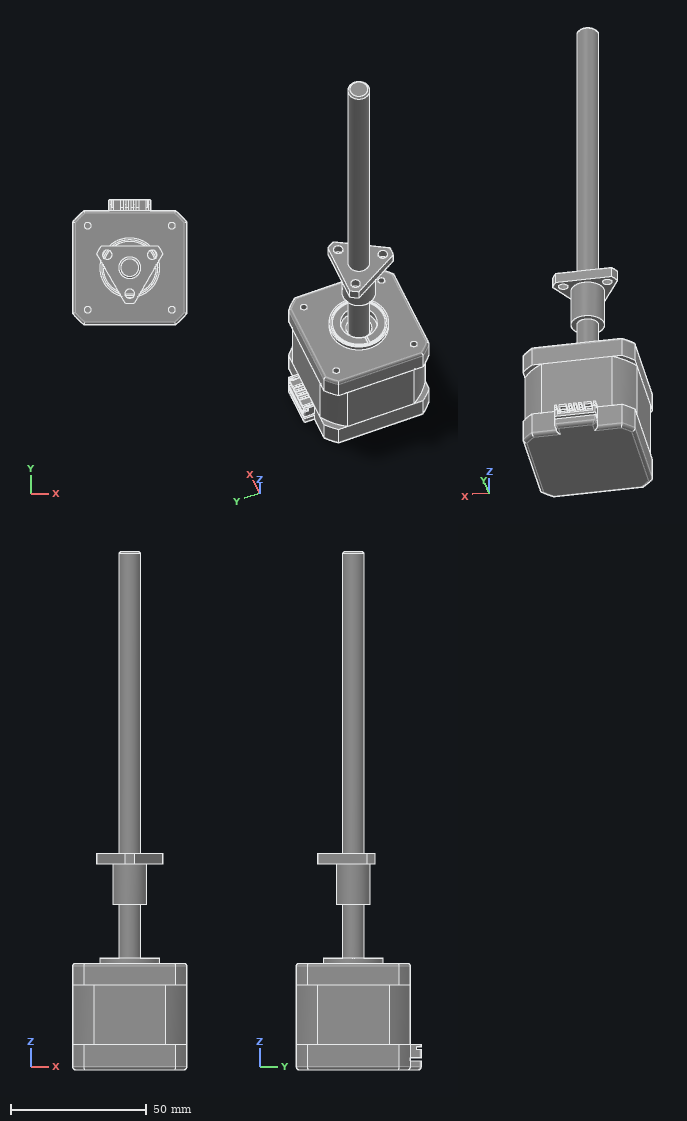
import cadquery as cq
import math

frame_width = 42.2
motor_height = 39.5
rear_cap_height = 9.5
front_cap_height = 8.0
cap_corner_radius = 27.0
stator_corner_radius = 25.0
front_edge_fillet = 1.0
rear_edge_fillet = 1.3
front_cap_bottom = motor_height - front_cap_height

mount_spacing = 31.0
mount_hole_diameter = 2.5

boss_diameter = 22.0
boss_height = 2.0
groove_outer_diameter = 20.7
groove_inner_diameter = 19.5
groove_depth = 0.4
boss_slot_width = 0.8
boss_recess_diameter = 13.6
boss_recess_depth = 3.3
rod_clearance_diameter = 9.5
boss_top = motor_height + boss_height

plug_width = 15.5
plug_reach = 4.0
plug_bottom = 4.6
plug_corner_radius = 0.4
plug_wall = 1.2
side_slot_height = 1.0
side_slot_depth = 1.7
side_slot_bottom = 7.7
contact_pitch = 2.0
contact_count = 4
contact_slot_width = 1.0
end_slot_offset = 6.5
ledge_height = 3.5

rod_diameter = 8.0
rod_top = 191.7
rod_end_chamfer = 0.8

nut_top = 80.1
nut_length = 19.0
flange_thickness = 4.0
flange_edge_distance = 8.0
flange_corner_radius = 13.2
flange_hole_diameter = 3.5
flange_hole_circle_radius = 9.5
flange_hole_angles = (30, 150, 270)
barrel_diameter = 12.5


def cylinder(diameter, bottom, height):
    """Cylinder about the Z axis."""
    return cq.Workplane("XY").workplane(offset=bottom).circle(diameter / 2).extrude(height)


def trimmed_square(corner_radius, bottom, height):
    """Square block whose corners are cut to a circle about the Z axis."""
    block = cq.Workplane("XY").workplane(offset=bottom).rect(frame_width, frame_width).extrude(height)
    return block.intersect(cylinder(2 * corner_radius, bottom, height))


def make_rear_cap():
    cap = trimmed_square(cap_corner_radius, 0, rear_cap_height)
    cap = cap.faces("<Z").edges().fillet(rear_edge_fillet)
    ledge_length = frame_width / 2 + plug_reach
    ledge = (
        cq.Workplane("XY")
        .box(plug_width, ledge_length, ledge_height, centered=(True, False, False))
        .edges("|Z and >Y").fillet(plug_corner_radius)
        .faces("<Z").edges(">Y or >X or <X").fillet(rear_edge_fillet)
    )
    return cap.union(ledge)


def make_stator():
    return trimmed_square(stator_corner_radius, rear_cap_height, front_cap_bottom - rear_cap_height)


def make_front_cap():
    cap = trimmed_square(cap_corner_radius, front_cap_bottom, front_cap_height)
    cap = cap.faces(">Z").edges().fillet(front_edge_fillet)
    cap = cap.union(cylinder(boss_diameter, motor_height, boss_height))
    groove_bottom = boss_top - groove_depth
    groove = cylinder(groove_outer_diameter, groove_bottom, groove_depth)
    groove = groove.cut(cylinder(groove_inner_diameter, groove_bottom, groove_depth))
    cap = cap.cut(groove)
    slots = (
        cq.Workplane("XY").workplane(offset=groove_bottom)
        .rect(groove_inner_diameter, boss_slot_width).extrude(groove_depth)
    )
    cap = cap.cut(slots)
    cap = cap.cut(cylinder(boss_recess_diameter, boss_top - boss_recess_depth, boss_recess_depth))
    cap = cap.cut(cylinder(rod_clearance_diameter, front_cap_bottom, front_cap_height + boss_height))
    mount_holes = (
        cq.Workplane("XY").workplane(offset=front_cap_bottom)
        .rect(mount_spacing, mount_spacing, forConstruction=True).vertices()
        .circle(mount_hole_diameter / 2).extrude(front_cap_height)
    )
    return cap.cut(mount_holes)


def plug_block(x, width, depth, bottom, height):
    """Block centred at x that reaches the given depth inwards from the plug's outer face."""
    outer_face = frame_width / 2 + plug_reach
    return (
        cq.Workplane("XY")
        .box(width, depth, height, centered=(True, False, False))
        .translate((x, outer_face - depth, bottom))
    )


def make_plug():
    plug_height = rear_cap_height - plug_bottom
    plug = plug_block(0, plug_width, plug_reach, plug_bottom, plug_height)
    plug = plug.edges("|Z and >Y").fillet(plug_corner_radius)

    cavity_depth = plug_reach - plug_wall
    cavity_width = plug_width - 2 * plug_wall
    cavity_height = plug_height - 2 * plug_wall
    plug = plug.cut(plug_block(0, cavity_width, cavity_depth, plug_bottom + plug_wall, cavity_height))
    plug = plug.cut(plug_block(0, plug_width, side_slot_depth, side_slot_bottom, side_slot_height))

    first_contact = -contact_pitch * (contact_count - 1) / 2
    slot_places = [first_contact + i * contact_pitch for i in range(contact_count)]
    slot_places += [-end_slot_offset, end_slot_offset]
    for x in slot_places:
        plug = plug.cut(plug_block(x, contact_slot_width, plug_reach, rear_cap_height - plug_wall, plug_wall))
    return plug


def make_rod():
    rod = cylinder(rod_diameter, front_cap_bottom, rod_top - front_cap_bottom)
    return rod.faces(">Z").edges().chamfer(rod_end_chamfer)


def make_nut():
    triangle_diameter = 4 * flange_edge_distance
    flange_bottom = nut_top - flange_thickness
    flange = (
        cq.Workplane("XY").workplane(offset=flange_bottom)
        .transformed(rotate=(0, 0, flange_hole_angles[0]))
        .polygon(3, triangle_diameter).extrude(flange_thickness)
    )
    flange = flange.intersect(cylinder(2 * flange_corner_radius, flange_bottom, flange_thickness))
    for angle in flange_hole_angles:
        x = flange_hole_circle_radius * math.cos(math.radians(angle))
        y = flange_hole_circle_radius * math.sin(math.radians(angle))
        hole = cylinder(flange_hole_diameter, flange_bottom, flange_thickness).translate((x, y, 0))
        flange = flange.cut(hole)
    nut_bottom = nut_top - nut_length
    nut = flange.union(cylinder(barrel_diameter, nut_bottom, nut_length - flange_thickness))
    return nut.cut(cylinder(rod_diameter, nut_bottom, nut_length))


rear_cap = make_rear_cap()
stator = make_stator()
front_cap = make_front_cap()
plug = make_plug()
rod = make_rod()
nut = make_nut()

result = cq.Compound.makeCompound([
    rear_cap.val(),
    stator.val(),
    front_cap.val(),
    plug.val(),
    rod.val(),
    nut.val(),
])